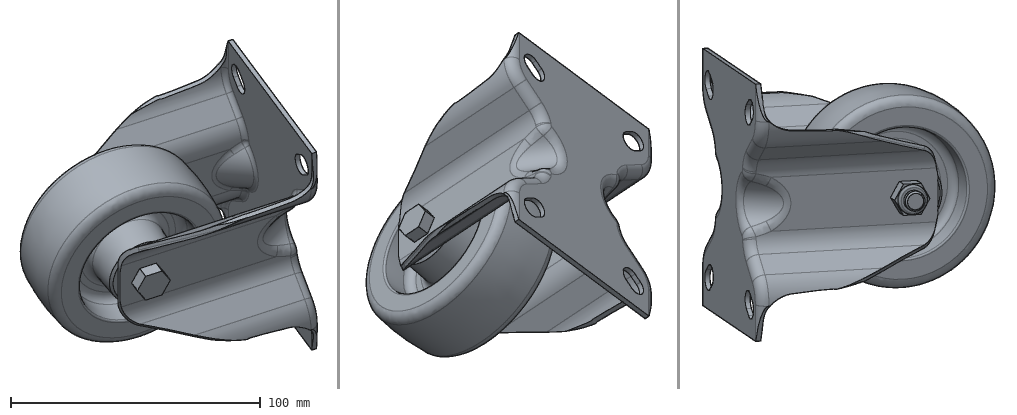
import cadquery as cq
import math

TREAD_RADIUS = 40.0
TREAD_CROWN = 1.2
WHEEL_HALF_WIDTH = 16.0
TREAD_CORNER_RADIUS = 4.2
RIM_SEAT_RADIUS = 27.1
RIM_LIP_RADIUS = 0.9
HUB_RADIUS = 15.2
HUB_HALF_LENGTH = 20.2
HUB_CHAMFER = 1.1
WEB_HALF_THICKNESS = 2.2
WEB_FILLET = 3.7
WALL_TAPER = 1.1

SHEET = 2.2
TOTAL_LENGTH = 107.9
PLATE_BACK = TOTAL_LENGTH - TREAD_RADIUS
PLATE_HEIGHT = 105.0
PLATE_HALF_HEIGHT = PLATE_HEIGHT / 2
PLATE_HALF_WIDTH = 42.0
CORNER_HALF_WIDTH = 38.0
WAIST_HALF_WIDTH = 23.1
WAIST_HALF_HEIGHT = 11.0
SPLAY_ANGLE = math.radians(53.3)
INNER_BEND = 10.4
OUTER_BEND = 14.6
ROOT_BEND = 4.4
LEG_LENGTH = 80.3

NECK_START = (0.5, -5)
NECK_CURVE = [(4.5, 38.0), (11.0, 33.9), (17.0, 33.0), (31.8, 32.4), (40.8, 31.3)]
NECK_END = (6, -1)
TAPER_CURVE = [(52.4, 31.8), (50.3, 40.8), (43.2, 55.8), (33.2, 73.7)]
END_CORNER_MIDDLE = (28.6, 78.1)
END_CORNER_STOP = (23.2, LEG_LENGTH)

SLOT_X = 28.8
SLOT_Z = 39.3
SLOT_LENGTH = 12.5
SLOT_WIDTH = 8.6
SLOT_ANGLE = 36

DIMPLE_RADIUS = 10.8
DIMPLE_DEPTH = 17.5
DIMPLE_ANGLE = math.radians(32)
DIMPLE_BLEND = 5.4

BOLT_RADIUS = 4.1
BOLT_TIP = 33.9
BOLT_TIP_CHAMFER = 0.8
SPACER_RADIUS = 5.7
HEX_ACROSS_FLATS = 12.7
HEAD_HEIGHT = 5.3
NUT_HEX_HEIGHT = 6.0
NUT_HEIGHT = 8.0
NUT_COLLAR_RADIUS = 6.0
NUT_COLLAR_ROUND = 0.9

CLEARANCE = 21.6
PICK_MARGIN = 0.1
PICK_REACH = 1.5


def revolve_about_axle(profile):
    return profile.revolve(360, (0, 0, 0), (1, 0, 0))


def make_tread():
    """Solid wheel blank with a crowned tread and rounded shoulders."""
    shoulder = TREAD_RADIUS - TREAD_CROWN
    profile = (
        cq.Workplane("XY")
        .moveTo(-WHEEL_HALF_WIDTH, 0)
        .lineTo(-WHEEL_HALF_WIDTH, shoulder)
        .threePointArc((0, TREAD_RADIUS), (WHEEL_HALF_WIDTH, shoulder))
        .lineTo(WHEEL_HALF_WIDTH, 0)
        .close()
    )
    blank = revolve_about_axle(profile)
    return blank.faces("<X or >X").edges().fillet(TREAD_CORNER_RADIUS)


def make_recess():
    """Annular pocket on the -X side, with tapered walls between hub and rim and a rounded floor."""
    profile = (
        cq.Workplane("XY")
        .moveTo(-HUB_HALF_LENGTH, HUB_RADIUS)
        .lineTo(-HUB_HALF_LENGTH, RIM_SEAT_RADIUS)
        .lineTo(-WEB_HALF_THICKNESS, RIM_SEAT_RADIUS - WALL_TAPER)
        .lineTo(-WEB_HALF_THICKNESS, HUB_RADIUS + WALL_TAPER)
        .close()
    )
    return revolve_about_axle(profile).faces(">X").edges().fillet(WEB_FILLET)


def make_hub():
    """Hub that thickens from each chamfered end toward the web."""
    profile = (
        cq.Workplane("XY")
        .moveTo(-HUB_HALF_LENGTH, 0)
        .lineTo(-HUB_HALF_LENGTH, HUB_RADIUS)
        .lineTo(-WEB_HALF_THICKNESS, HUB_RADIUS + WALL_TAPER)
        .lineTo(WEB_HALF_THICKNESS, HUB_RADIUS + WALL_TAPER)
        .lineTo(HUB_HALF_LENGTH, HUB_RADIUS)
        .lineTo(HUB_HALF_LENGTH, 0)
        .close()
    )
    return revolve_about_axle(profile).faces("<X or >X").chamfer(HUB_CHAMFER)


def make_wheel():
    recess = make_recess()
    disc = make_tread().cut(recess).cut(recess.mirror("YZ"))
    rim_edge = cq.selectors.RadiusNthSelector(1)
    for side_face in ("<X", ">X"):
        disc = disc.faces(side_face).edges(rim_edge).fillet(RIM_LIP_RADIUS)
    return disc.union(make_hub())


def leg_side(inset):
    """Points (x, z) along one quarter of the waisted outline, waist first; bends come as arc midpoints."""
    sin_a, cos_a = math.sin(SPLAY_ANGLE), math.cos(SPLAY_ANGLE)
    sin_h, cos_h = math.sin(SPLAY_ANGLE / 2), math.cos(SPLAY_ANGLE / 2)
    run = PLATE_HALF_WIDTH - WAIST_HALF_WIDTH - (INNER_BEND + OUTER_BEND) * (1 - cos_a)
    rise = run / math.tan(SPLAY_ANGLE)
    inner_x = WAIST_HALF_WIDTH + INNER_BEND
    outer_x = PLATE_HALF_WIDTH - OUTER_BEND
    outer_z = WAIST_HALF_HEIGHT + (INNER_BEND + OUTER_BEND) * sin_a + rise
    r_in = INNER_BEND + inset
    r_out = OUTER_BEND - inset
    return [
        (inner_x - r_in, WAIST_HALF_HEIGHT),
        (inner_x - r_in * cos_h, WAIST_HALF_HEIGHT + r_in * sin_h),
        (inner_x - r_in * cos_a, WAIST_HALF_HEIGHT + r_in * sin_a),
        (outer_x + r_out * cos_a, outer_z - r_out * sin_a),
        (outer_x + r_out * cos_h, outer_z - r_out * sin_h),
        (outer_x + r_out, outer_z),
    ]


def make_block(inset, back):
    """Prism with the waisted outline, inset from the outer face of the sheet and over-long in Z."""
    end = PLATE_HALF_HEIGHT + CLEARANCE
    side = leg_side(inset)
    wide_x = side[-1][0]
    outline = cq.Workplane("XZ", origin=(0, back, 0)).moveTo(0, end).lineTo(wide_x, end)
    lower_side = [(x, -z) for x, z in side]
    for first, first_middle, second, third, second_middle, last in (side[::-1], lower_side):
        outline = outline.lineTo(*first).threePointArc(first_middle, second)
        outline = outline.lineTo(*third).threePointArc(second_middle, last)
    return outline.lineTo(wide_x, -end).lineTo(0, -end).mirrorY().extrude(back + TREAD_RADIUS)


def make_dimple(radius, tip_depth, half_width):
    """Cylinder slanting through the root of the +X leg; it meets the leg face at the tip depth."""
    along = cq.Vector(math.sin(DIMPLE_ANGLE), -math.cos(DIMPLE_ANGLE), 0)
    across = cq.Vector(math.cos(DIMPLE_ANGLE), math.sin(DIMPLE_ANGLE), 0)
    tip = cq.Vector(half_width, PLATE_BACK - tip_depth, 0)
    start = tip + across * radius - along * (2 * CLEARANCE)
    axis_plane = cq.Plane(origin=start.toTuple(), xDir=(0, 0, 1), normal=along.toTuple())
    return cq.Workplane(axis_plane).circle(radius).extrude(4 * CLEARANCE)


def make_pressing(inset, back, root_radius):
    """Solid bounded by one face of the sheet: waisted block, dimples, then the rounded root bend."""
    half_width = WAIST_HALF_WIDTH - inset
    tip_shift = inset * (1 / math.sin(DIMPLE_ANGLE) - 1 / math.tan(DIMPLE_ANGLE))
    dimple = make_dimple(DIMPLE_RADIUS + inset, DIMPLE_DEPTH - tip_shift, half_width)
    block = make_block(inset, back).cut(dimple).cut(dimple.mirror("YZ"))
    reach_y = PICK_REACH * DIMPLE_DEPTH
    reach_z = PICK_REACH * DIMPLE_RADIUS
    for side in (-1, 1):
        rim = cq.selectors.BoxSelector(
            (side * (half_width - PICK_MARGIN), back - reach_y, -reach_z),
            (side * (half_width + CLEARANCE), back - PICK_MARGIN, reach_z),
        )
        block = block.edges(rim).edges("not |Y").fillet(DIMPLE_BLEND - inset)
    return block.faces(">Y").edges().fillet(root_radius)


def make_sheet():
    """Plate and both legs as one bent sheet, before its edges are trimmed."""
    outside = make_pressing(0, PLATE_BACK, ROOT_BEND)
    inside = make_pressing(SHEET, PLATE_BACK - SHEET, ROOT_BEND - SHEET)
    return outside.cut(inside)


def make_side_trim():
    """Extrusion along X that narrows each leg from the plate corners to the width of its root."""
    plane = cq.Plane(origin=(2 * PLATE_HALF_WIDTH, PLATE_BACK, 0), xDir=(0, -1, 0), normal=(-1, 0, 0))
    beyond = LEG_LENGTH - NECK_CURVE[-1][0]
    return (
        cq.Workplane(plane)
        .moveTo(0, 0)
        .lineTo(0, PLATE_HALF_HEIGHT)
        .lineTo(SHEET, PLATE_HALF_HEIGHT)
        .spline(NECK_CURVE, tangents=[NECK_START, NECK_END], includeCurrent=True)
        .lineTo(LEG_LENGTH, NECK_CURVE[-1][1] + NECK_END[1] * beyond / NECK_END[0])
        .lineTo(LEG_LENGTH, 0)
        .mirrorX()
        .extrude(4 * PLATE_HALF_WIDTH)
    )


def make_edge_trim():
    """Extrusion square to the splayed part of the +X, +Z leg quarter that tapers it to its rounded end."""
    plane = cq.Plane(
        origin=(0, PLATE_BACK, 0),
        xDir=(math.sin(SPLAY_ANGLE), 0, math.cos(SPLAY_ANGLE)),
        normal=(math.cos(SPLAY_ANGLE), 0, -math.sin(SPLAY_ANGLE)),
    )
    far = TOTAL_LENGTH
    return (
        cq.Workplane(plane)
        .moveTo(far, TAPER_CURVE[0][1])
        .lineTo(*TAPER_CURVE[0])
        .spline(TAPER_CURVE[1:], includeCurrent=True)
        .threePointArc(END_CORNER_MIDDLE, END_CORNER_STOP)
        .lineTo(-far, LEG_LENGTH)
        .lineTo(-far, 2 * far)
        .lineTo(far, 2 * far)
        .close()
        .extrude(far, both=True)
        .intersect(cq.Workplane("XY").box(far, 4 * far, far, centered=(False, True, False)))
    )


def make_corner_trim():
    """Octagonal prism along Y that narrows the plate toward its four corners."""
    full_width_z = leg_side(0)[-1][1]
    return (
        cq.Workplane("XZ", origin=(0, PLATE_BACK, 0))
        .moveTo(0, PLATE_HALF_HEIGHT)
        .lineTo(CORNER_HALF_WIDTH, PLATE_HALF_HEIGHT)
        .lineTo(PLATE_HALF_WIDTH, full_width_z)
        .lineTo(PLATE_HALF_WIDTH, -full_width_z)
        .lineTo(CORNER_HALF_WIDTH, -PLATE_HALF_HEIGHT)
        .lineTo(0, -PLATE_HALF_HEIGHT)
        .mirrorY()
        .extrude(TOTAL_LENGTH)
    )


def make_slots():
    """The four mounting slots, each pointing out toward its plate corner."""
    slot = (
        cq.Workplane("XZ", origin=(SLOT_X, PLATE_BACK, SLOT_Z))
        .slot2D(SLOT_LENGTH, SLOT_WIDTH, SLOT_ANGLE)
        .extrude(SHEET)
    )
    pair = slot.union(slot.mirror("YZ"))
    return pair.union(pair.mirror("XY"))


def make_hex(x_start, height):
    across_corners = HEX_ACROSS_FLATS / math.cos(math.pi / 6)
    return cq.Workplane("YZ", origin=(x_start, 0, 0)).polygon(6, across_corners).extrude(height)


def make_axle():
    """Bolt with its head on +X, lock nut on -X, and the spacer that carries the hub between the legs."""
    half = WAIST_HALF_WIDTH
    spacer = cq.Workplane("YZ", origin=(-half, 0, 0)).circle(SPACER_RADIUS).extrude(2 * half)
    bolt = cq.Workplane("YZ").circle(BOLT_RADIUS).extrude(-BOLT_TIP).faces("<X").chamfer(BOLT_TIP_CHAMFER)
    head = make_hex(half, HEAD_HEIGHT)
    nut = make_hex(-half - NUT_HEX_HEIGHT, NUT_HEX_HEIGHT)
    collar = (
        cq.Workplane("YZ", origin=(-half, 0, 0))
        .circle(NUT_COLLAR_RADIUS)
        .extrude(-NUT_HEIGHT)
        .faces("<X")
        .edges()
        .fillet(NUT_COLLAR_ROUND)
    )
    return spacer.union(bolt).union(head).union(nut).union(collar)


def make_bracket():
    bracket = make_sheet().intersect(make_side_trim()).intersect(make_corner_trim())
    edge_trim = make_edge_trim()
    for trim in (edge_trim, edge_trim.mirror("XY")):
        bracket = bracket.cut(trim).cut(trim.mirror("YZ"))
    return bracket.cut(make_slots())


result = make_bracket().union(make_wheel()).union(make_axle())